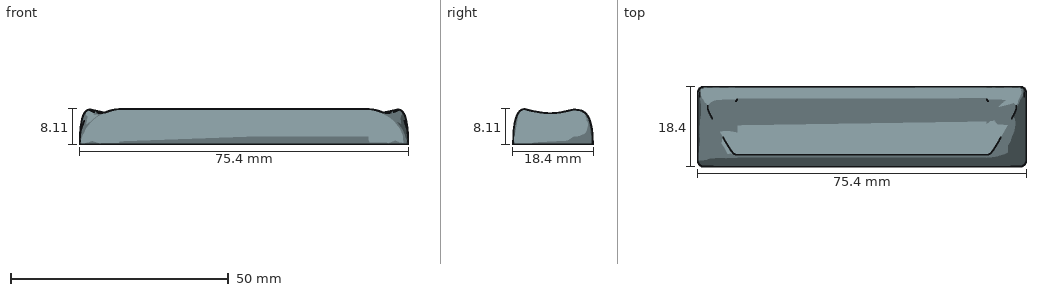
import cadquery as cq
import math

LENGTH = 75.43
WIDTH = 18.4
HEIGHT = 8.11
STRAIGHT_LENGTH = 57.2
CORNER_RADIUS = 1.4

SIDE_Y = WIDTH / 2
END_X = -LENGTH / 2
SEAM_X = -STRAIGHT_LENGTH / 2
CORNER_X = END_X + CORNER_RADIUS
CORNER_Y = SIDE_Y - CORNER_RADIUS

WALL_EXPONENT = 2.4
FRONT_CORNER_EXPONENT = 1.6
FRONT_CORNER_SHARE = 0.73
FRONT_CORNER_SPREAD = 0.25
WALL_STEPS = 6
RIB_COUNT = 49
WALL_TOLERANCE = 0.001

DISH_SECTION = [(SEAM_X, -6.45, HEIGHT), (SEAM_X, 1.5, 6.5), (SEAM_X, 6.3, 6.95)]

CAP_RIM = [
    (0.0, DISH_SECTION[-1]),
    (0.11, (-32.0, 6.2, 7.3)),
    (0.2, (-34.3, 5.8, 7.8)),
    (0.25, (-35.2, 5.1, 8.0)),
    (0.31, (-35.4, 4.2, 7.9)),
    (0.4, (-34.7, 2.5, 7.5)),
    (0.5, (-33.5, 0.4, 7.2)),
    (0.6, (-32.3, -1.7, 7.2)),
    (0.7, (-31.1, -3.8, 7.5)),
    (0.8, (-30.1, -5.4, 7.85)),
    (0.9, (-29.4, -6.2, 8.05)),
    (1.0, DISH_SECTION[0]),
]


def spline(points, parameters=None):
    return cq.Edge.makeSpline([cq.Vector(*p) for p in points], parameters=parameters)


def cap_base():
    """Outline of the left cap on the base, from its back seam to its front seam."""
    return (
        cq.Workplane("XY")
        .moveTo(SEAM_X, SIDE_Y)
        .lineTo(CORNER_X, SIDE_Y)
        .radiusArc((END_X, CORNER_Y), -CORNER_RADIUS)
        .lineTo(END_X, -CORNER_Y)
        .radiusArc((CORNER_X, -SIDE_Y), -CORNER_RADIUS)
        .lineTo(SEAM_X, -SIDE_Y)
        .wire()
        .val()
    )


def wall_exponent(share):
    """Superellipse exponent of the wall at a share of the way round the base."""
    offset = min(abs(share - FRONT_CORNER_SHARE) / FRONT_CORNER_SPREAD, 1)
    easing = (1 + math.cos(math.pi * offset)) / 2
    return WALL_EXPONENT + (FRONT_CORNER_EXPONENT - WALL_EXPONENT) * easing


def wall_rib(base, rim, exponent):
    """Points up the wall, from vertical at the base to level at the rim."""
    points = []
    for step in range(WALL_STEPS + 1):
        angle = math.pi / 2 * step / WALL_STEPS
        rise = math.sin(angle) ** (2 / exponent)
        inward = 1 - math.cos(angle) ** (2 / exponent)
        x = base.x + (rim.x - base.x) * inward
        y = base.y + (rim.y - base.y) * inward
        points.append(cq.Vector(x, y, rim.z * rise))
    return points


def cap_ribs():
    """Wall ribs of the left cap, evenly spaced round its base."""
    base = cap_base()
    rim = spline([point for _, point in CAP_RIM], [share for share, _ in CAP_RIM])
    shares = [i / (RIB_COUNT - 1) for i in range(RIB_COUNT)]
    return [
        wall_rib(base.positionAt(share), rim.positionAt(share, mode="parameter"), wall_exponent(share))
        for share in shares
    ]


def bottom_face(base_curve):
    """Flat base between the left cap's base curve and its mirror image."""
    edges = [base_curve, base_curve.mirror("YZ")]
    for y in (SIDE_Y, -SIDE_Y):
        edges.append(cq.Edge.makeLine(cq.Vector(SEAM_X, y, 0), cq.Vector(-SEAM_X, y, 0)))
    return cq.Face.makeFromWires(cq.Wire.assembleEdges(edges))


def swept_along_bar(seam_curve):
    """Face of the straight part, from a curve on the left seam to the right seam."""
    far_curve = seam_curve.translate(cq.Vector(STRAIGHT_LENGTH, 0, 0))
    return cq.Face.makeRuledSurface(seam_curve, far_curve)


cap_wall = cq.Face.makeSplineApprox(cap_ribs(), tol=WALL_TOLERANCE)
dish_curve = spline(DISH_SECTION)
cap_dish = cq.Face.makeRuledSurface(dish_curve, cap_wall.edges(">Z"))
left_cap = [cap_wall, cap_dish]
right_cap = [face.mirror("YZ") for face in left_cap]

seam_curves = [cap_wall.edges(">Y"), dish_curve, cap_wall.edges("<Y")]
straight_part = [swept_along_bar(curve) for curve in seam_curves]

bottom = bottom_face(cap_wall.edges("<Z"))
skin = cq.Shell.makeShell([*straight_part, *left_cap, *right_cap, bottom])
result = cq.Workplane("XY").newObject([cq.Solid.makeSolid(skin)])